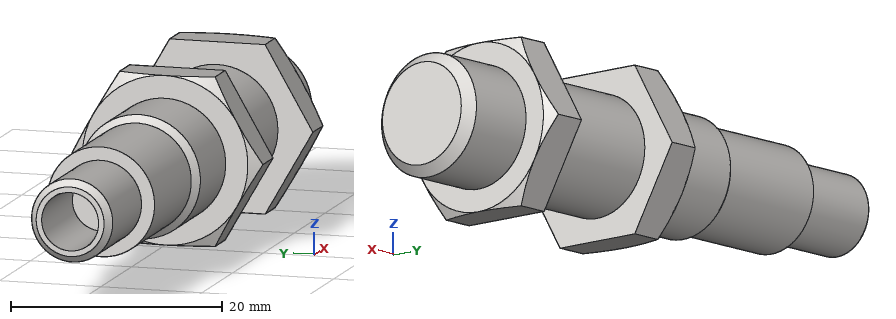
import cadquery as cq
import math

total_length = 60.0
tip_diameter = 8.05
tip_length = 10.0
tip_chamfer = 0.65
collar_diameter = 10.6
collar_end = 21.95
barrel_diameter = 12.0
shoulder_chamfer = (barrel_diameter - collar_diameter) / 2
end_chamfer = 1.0
bore_diameter = 5.65
bore_depth = tip_length

across_flats = 16.4
across_corners = across_flats / math.cos(math.radians(30))
nut_thickness = 4.0
nut_chamfer_angle = 30.0
front_nut_start = 30.9
rear_nut_start = 47.9


def make_body():
    """Stepped barrel revolved about the X axis, with a blind bore in the tip."""
    tip_radius = tip_diameter / 2
    collar_radius = collar_diameter / 2
    barrel_radius = barrel_diameter / 2
    profile = (
        cq.Workplane("XY")
        .polyline([
            (0, 0),
            (0, tip_radius - tip_chamfer),
            (tip_chamfer, tip_radius),
            (tip_length, tip_radius),
            (tip_length, collar_radius),
            (collar_end, collar_radius),
            (collar_end + shoulder_chamfer, barrel_radius),
            (total_length - end_chamfer, barrel_radius),
            (total_length, barrel_radius - end_chamfer),
            (total_length, 0),
        ])
        .close()
    )
    barrel = profile.revolve(360, (0, 0, 0), (1, 0, 0))
    bore = cq.Workplane("YZ").circle(bore_diameter / 2).extrude(bore_depth)
    return barrel.cut(bore)


def make_nut():
    """Nut from X = 0 to its thickness, corners on the Y axis, chamfered on the X = 0 face."""
    blank = cq.Workplane("YZ").polygon(6, across_corners).extrude(nut_thickness)
    face_radius = across_flats / 2
    corner_radius = across_corners / 2
    chamfer_depth = (corner_radius - face_radius) * math.tan(math.radians(nut_chamfer_angle))
    envelope = (
        cq.Workplane("XY")
        .polyline([
            (0, 0),
            (0, face_radius),
            (chamfer_depth, corner_radius),
            (nut_thickness, corner_radius),
            (nut_thickness, 0),
        ])
        .close()
        .revolve(360, (0, 0, 0), (1, 0, 0))
    )
    hole = cq.Workplane("YZ").circle(barrel_diameter / 2).extrude(nut_thickness)
    return blank.intersect(envelope).cut(hole)


body = make_body()

nuts = []
for start, chamfer_faces_rear in [(front_nut_start, False), (rear_nut_start, True)]:
    nut = make_nut()
    if chamfer_faces_rear:
        nut = nut.rotate((0, 0, 0), (0, 0, 1), 180).translate((nut_thickness, 0, 0))
    nuts.append(nut.translate((start, 0, 0)))

result = cq.Compound.makeCompound([body.val(), *[nut.val() for nut in nuts]])